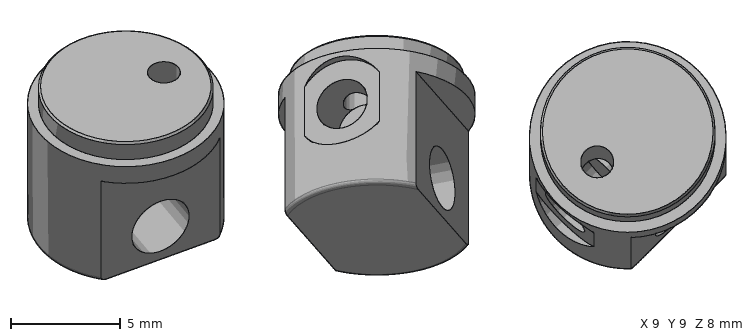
import cadquery as cq

body_diameter = 9.0
body_height = 7.0
spigot_diameter = 8.0
spigot_height = 1.0
bottom_round = 0.2
spigot_chamfer = 0.1

flat_spacing = 6.5
flange_thickness = 1.0

cross_bore_diameter = 3.0
cross_bore_height = 2.0

pocket_diameter = 2.5
pocket_depth = 3.0
pocket_height = 4.5
counterbore_diameter = 4.5
counterbore_depth = 0.4

top_hole_diameter = 1.5
top_hole_y = 2.0

body_radius = body_diameter / 2
total_height = body_height + spigot_height
flat_height = body_height - flange_thickness
pocket_floor_y = body_radius - pocket_depth
counterbore_floor_y = body_radius - counterbore_depth


def plug_body():
    """Round body with a rounded bottom edge and a chamfered spigot on top."""
    body = cq.Workplane("XY").circle(body_radius).extrude(body_height)
    body = body.faces("<Z").edges().fillet(bottom_round)
    spigot = (
        cq.Workplane("XY", origin=(0, 0, body_height))
        .circle(spigot_diameter / 2)
        .extrude(spigot_height)
        .faces(">Z")
        .edges()
        .chamfer(spigot_chamfer)
    )
    return body.union(spigot)


def side_flat(side):
    """Block outside one flat; side is +1 or -1 along X."""
    block_center_x = side * (flat_spacing + body_diameter) / 2
    return (
        cq.Workplane("XY")
        .center(block_center_x, 0)
        .rect(body_diameter, body_diameter)
        .extrude(flat_height)
    )


def cross_bore():
    """Through bore along X."""
    return (
        cq.Workplane("YZ")
        .center(0, cross_bore_height)
        .circle(cross_bore_diameter / 2)
        .extrude(body_radius, both=True)
    )


def y_cylinder(diameter, start_y):
    """Cylinder along Y on the pocket's axis, from start_y out to the +Y side."""
    return (
        cq.Workplane("XZ", origin=(0, start_y, pocket_height))
        .circle(diameter / 2)
        .extrude(start_y - body_radius)
    )


def top_hole():
    """Vertical hole that stops on the pocket's cylindrical surface, carried on past the pocket floor."""
    hole = (
        cq.Workplane("XY", origin=(0, top_hole_y, pocket_height))
        .circle(top_hole_diameter / 2)
        .extrude(total_height - pocket_height)
    )
    return hole.cut(y_cylinder(pocket_diameter, 0))


result = plug_body()
for side in (-1, 1):
    result = result.cut(side_flat(side))
result = result.cut(cross_bore())
result = result.cut(y_cylinder(pocket_diameter, pocket_floor_y))
result = result.cut(y_cylinder(counterbore_diameter, counterbore_floor_y))
result = result.cut(top_hole())